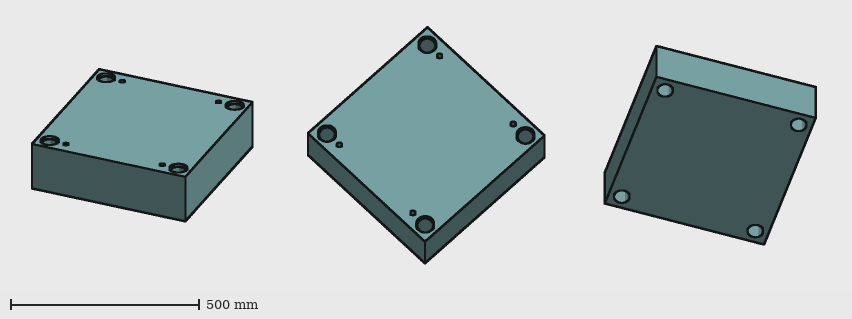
import cadquery as cq
import math

side = 445.5
height = 136.0

guide_offset = 186.7
guide_diameter = 42.0
counterbore_diameter = 48.0
counterbore_depth = 8.0

screw_offset = 140.0
screw_diameter = 14.0
screw_depth = 35.5
drill_point_angle = 118


def mirrored_points(x, y):
    """Return the four points at (+-x, +-y)."""
    return [(sx * x, sy * y) for sx in (-1, 1) for sy in (-1, 1)]


def drill_tool(diameter, depth):
    """Blind drill with a conical tip, entering downward from the origin."""
    radius = diameter / 2
    tip_length = radius / math.tan(math.radians(drill_point_angle / 2))
    return (
        cq.Workplane("XZ")
        .lineTo(radius, 0)
        .lineTo(radius, -depth)
        .lineTo(0, -depth - tip_length)
        .close()
        .revolve(360, (0, 0, 0), (0, 1, 0))
    )


block = cq.Workplane("XY").box(side, side, height)

result = (
    block.faces(">Z")
    .workplane()
    .pushPoints(mirrored_points(guide_offset, guide_offset))
    .cboreHole(guide_diameter, counterbore_diameter, counterbore_depth)
)

screw_tool = drill_tool(screw_diameter, screw_depth)
for x, y in mirrored_points(screw_offset, guide_offset):
    result = result.cut(screw_tool.translate((x, y, height / 2)))